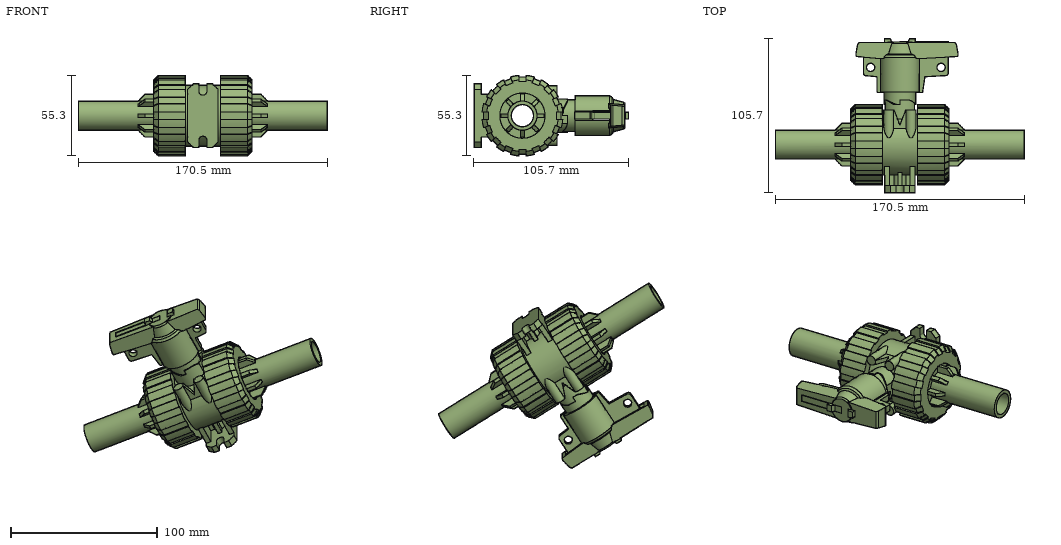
import cadquery as cq
import math


PIPE_LENGTH = 170.5
PIPE_RADIUS = 10.0
BORE_RADIUS = 7.5

RIB_COUNT = 8
RIB_THICKNESS = 2.5
RIB_RADIUS = 14.7
RIB_TIP_X = 44.4

NUT_INNER_X = 11.95
NUT_OUTER_X = 33.75
NUT_RADIUS = 27.75
NUT_CHAMFER = 3.2
NUT_HOLE_RADIUS = 31 / 2
NUT_HOLE_DEPTH = 1.5
GROOVE_COUNT = 16
GROOVE_WIDTH = 5.0
GROOVE_DEPTH = 1.25

BODY_RADIUS = 41.97 / 2
POST_RADIUS = 7 / 2
POST_X = 7.6
POST_Z = 17.0
POST_TOP_Y = 23.75
WEB_OUTER_Z = 17.9
WEB_THICKNESS = 3.0
NOTCH_HALF_WIDTH = 4.0
NOTCH_TIP_Y = 13.5

STEM_RADIUS = 22 / 2
STEM_BOTTOM_Y = 27.4
STEM_TOP_Y = 46.0
NECK_RADIUS = 11.55
NECK_HALF_WIDTH = 10.15
CAM_HIGH_Y = 30.7
CAM_COUNT = 4
CAM_RAMP_START = 30
CAM_RAMP_END = 70
CAM_RAMP_BULGE = 0.3

FOOT_HALF_WIDTH = 10.5
FOOT_HALF_HEIGHT = 21.9
FOOT_CHAMFER = 4.0
FOOT_BOTTOM_Y = -33.0
FOOT_TOP_Y = -28.15
SLOT_WIDTH = 5.5
SLOT_END_Z = 14.05
LEG_INNER_X = 7.0
LEG_HALF_HEIGHT = 14.7
FOOT_BOSS_RADIUS = 4.3
FOOT_RIB_THICKNESS = 2.9
FOOT_RIB_HALF_HEIGHT = 8.5

HUB_RADIUS = 13.75
HUB_BOTTOM_Y = 36.1
HUB_SHOULDER_Y = 59.7
HUB_EDGE_RADIUS = 12.6
HUB_EDGE_Y = 61.4
HUB_SLOT_Y = 48.2
HUB_SLOT_WIDTH = 6.6
HUB_FLAT_X = 13.2
CAP_BASE_RADIUS = 11.2
CAP_BASE_Y = 62.2
CAP_EDGE_RADIUS = 9.3
CAP_TOP_RADIUS = 8.4
CAP_EDGE_Y = 69.2
CAP_TOP_Y = 70.4

BAR_LEFT_X = -30.2
BAR_RIGHT_X = 39.9
BAR_BOTTOM_Y = 58.9
BAR_END_BOTTOM_Y = 60.3
BAR_TOP_Y = 70.0
BAR_MID_HALF_DEPTH = 8.8
BAR_END_HALF_DEPTH = 7.4
BAR_DRAFT = 6.0
BAR_WALL = 3.0
BAR_LIP_WIDTH = 0.4
BAR_LIP_Y = 61.2
BAR_RIM_Y = 62.3
BAR_END_LEAN = 1.1
BAR_CORNER_WIDTH = 1.0
BAR_CORNER_HEIGHT = 1.7

PLATE_THICKNESS = 4.75
PLATE_LEFT_X = -25.0
PLATE_RIGHT_X = 33.2
PLATE_TAB_Y = 47.3
PLATE_STEP_Y = 46.4
PLATE_BOTTOM_Y = 35.6
PLATE_TOP_Y = 70.5
PLATE_CORNER = 2.0
TONGUE_CORNER = 0.8
TONGUE_LEFT_X = -15.7
TONGUE_RIGHT_TOP_X = 17.2
TONGUE_RIGHT_BOTTOM_X = 15.6
HOLE_RADIUS = 5.5 / 2
HOLE_Y = 52.9
HOLE_LEFT_X = -20.05
HOLE_RIGHT_X = 28.2
LUG_TOP_Y = 72.67
LUG_OUTER_X = 10.65
LUG_INNER_X = 5.5
LUG_SLOPE = 1.2


def x_cylinder(radius, x_start, x_end):
    return cq.Workplane("YZ", origin=(x_start, 0, 0)).circle(radius).extrude(x_end - x_start)


def y_cylinder(radius, y_start, y_end, x=0, z=0):
    return cq.Workplane("XZ", origin=(x, y_start, z)).circle(radius).extrude(y_start - y_end)


def block(x_range, y_range, z_range):
    corners = list(zip(x_range, y_range, z_range))
    sizes = [end - start for start, end in zip(*corners)]
    return cq.Workplane().box(*sizes, centered=False).translate(corners[0])


def plate_xy(points, thickness):
    """Flat plate from an XY outline, centred on Z = 0."""
    return cq.Workplane("XY").polyline(points).close().extrude(thickness / 2, both=True)


def mirrored_x(shape):
    return shape.union(shape.mirror("YZ"))


def mirrored_z(shape):
    return shape.union(shape.mirror("XY"))


def nut():
    end_radius = NUT_RADIUS - NUT_CHAMFER
    chamfer_x = NUT_OUTER_X - NUT_CHAMFER
    floor_radius = NUT_RADIUS - GROOVE_DEPTH
    clear_radius = NUT_RADIUS + GROOVE_DEPTH
    blank = x_cylinder(NUT_RADIUS, NUT_INNER_X, NUT_OUTER_X).faces(">X").chamfer(NUT_CHAMFER)
    groove = plate_xy(
        [
            (NUT_INNER_X, clear_radius),
            (NUT_INNER_X, floor_radius),
            (chamfer_x, floor_radius),
            (NUT_OUTER_X, end_radius - GROOVE_DEPTH),
            (NUT_OUTER_X, clear_radius),
        ],
        GROOVE_WIDTH,
    )
    for index in range(GROOVE_COUNT):
        blank = blank.cut(groove.rotate((0, 0, 0), (1, 0, 0), index * 360 / GROOVE_COUNT))
    return blank.cut(x_cylinder(NUT_HOLE_RADIUS, NUT_OUTER_X - NUT_HOLE_DEPTH, NUT_OUTER_X))


def pipe_end():
    """One pipe with its ribs, on the +X side."""
    pipe = x_cylinder(PIPE_RADIUS, 0, PIPE_LENGTH / 2)
    root_radius = (BORE_RADIUS + PIPE_RADIUS) / 2
    root_x = NUT_OUTER_X - NUT_HOLE_DEPTH
    rib = plate_xy(
        [
            (root_x, root_radius),
            (root_x, RIB_RADIUS),
            (RIB_TIP_X - (RIB_RADIUS - PIPE_RADIUS), RIB_RADIUS),
            (RIB_TIP_X, PIPE_RADIUS),
            (RIB_TIP_X, root_radius),
        ],
        RIB_THICKNESS,
    )
    for index in range(RIB_COUNT):
        pipe = pipe.union(rib.rotate((0, 0, 0), (1, 0, 0), index * 360 / RIB_COUNT))
    return pipe


def posts():
    """Two posts on the +Z side joined by a web with a V notch."""
    pair = mirrored_x(y_cylinder(POST_RADIUS, 0, POST_TOP_Y, POST_X, POST_Z))
    web = block((-POST_X, POST_X), (0, POST_TOP_Y), (WEB_OUTER_Z - WEB_THICKNESS, WEB_OUTER_Z))
    notch = plate_xy(
        [(-NOTCH_HALF_WIDTH, POST_TOP_Y), (0, NOTCH_TIP_Y), (NOTCH_HALF_WIDTH, POST_TOP_Y)],
        2 * WEB_OUTER_Z,
    )
    return pair.union(web.cut(notch))


def cam():
    """Column topped by four cam steps, each falling from high to low in a quarter turn."""
    ramp_start_x = NECK_RADIUS * math.sin(math.radians(CAM_RAMP_START))
    ramp_middle_x = NECK_RADIUS * math.sin(math.radians((CAM_RAMP_START + CAM_RAMP_END) / 2))
    ramp_end_x = NECK_RADIUS * math.sin(math.radians(CAM_RAMP_END))
    cam_relief = (
        cq.Workplane("XY")
        .moveTo(ramp_start_x, CAM_HIGH_Y)
        .threePointArc(
            (ramp_middle_x, (CAM_HIGH_Y + STEM_BOTTOM_Y) / 2 + CAM_RAMP_BULGE),
            (ramp_end_x, STEM_BOTTOM_Y),
        )
        .lineTo(NECK_RADIUS, STEM_BOTTOM_Y)
        .lineTo(NECK_RADIUS, CAM_HIGH_Y)
        .close()
        .extrude(NECK_RADIUS)
    )
    solid = y_cylinder(NECK_RADIUS, 0, CAM_HIGH_Y)
    for index in range(CAM_COUNT):
        solid = solid.cut(cam_relief.rotate((0, 0, 0), (0, 1, 0), index * 360 / CAM_COUNT))
    return solid


def neck():
    """Cam column with flats on its two X sides."""
    flats = block(
        (-NECK_HALF_WIDTH, NECK_HALF_WIDTH),
        (0, CAM_HIGH_Y),
        (-NECK_RADIUS, NECK_RADIUS),
    )
    return cam().intersect(flats)


def stem():
    """Stem whose lower end mates with the cam."""
    return y_cylinder(STEM_RADIUS, STEM_BOTTOM_Y, STEM_TOP_Y).cut(cam())


def foot():
    plate = (
        block(
            (-FOOT_HALF_WIDTH, FOOT_HALF_WIDTH),
            (FOOT_BOTTOM_Y, FOOT_TOP_Y),
            (-FOOT_HALF_HEIGHT, FOOT_HALF_HEIGHT),
        )
        .edges("|Y")
        .chamfer(FOOT_CHAMFER)
    )
    slot_radius = SLOT_WIDTH / 2
    slot_z = SLOT_END_Z + slot_radius
    slot = y_cylinder(slot_radius, FOOT_BOTTOM_Y, FOOT_TOP_Y, 0, slot_z).union(
        block(
            (-slot_radius, slot_radius),
            (FOOT_BOTTOM_Y, FOOT_TOP_Y),
            (slot_z, FOOT_HALF_HEIGHT),
        )
    )
    plate = plate.cut(mirrored_z(slot))
    leg = block((LEG_INNER_X, FOOT_HALF_WIDTH), (FOOT_TOP_Y, 0), (-LEG_HALF_HEIGHT, LEG_HALF_HEIGHT))
    half_rib = FOOT_RIB_THICKNESS / 2
    cross_rib = block((-LEG_INNER_X, LEG_INNER_X), (FOOT_TOP_Y, 0), (-half_rib, half_rib))
    long_rib = block(
        (-half_rib, half_rib),
        (FOOT_TOP_Y, 0),
        (-FOOT_RIB_HALF_HEIGHT, FOOT_RIB_HALF_HEIGHT),
    )
    boss = y_cylinder(FOOT_BOSS_RADIUS, FOOT_TOP_Y, 0)
    return plate.union(mirrored_x(leg)).union(cross_rib).union(long_rib).union(boss)


def hub():
    profile = [
        (0, HUB_BOTTOM_Y),
        (HUB_RADIUS, HUB_BOTTOM_Y),
        (HUB_RADIUS, HUB_SHOULDER_Y),
        (HUB_EDGE_RADIUS, HUB_EDGE_Y),
        (CAP_BASE_RADIUS, CAP_BASE_Y),
        (CAP_EDGE_RADIUS, CAP_EDGE_Y),
        (CAP_TOP_RADIUS, CAP_TOP_Y),
        (0, CAP_TOP_Y),
    ]
    solid = cq.Workplane("XY").polyline(profile).close().revolve(360, (0, 0, 0), (0, 1, 0))
    half_slot = HUB_SLOT_WIDTH / 2
    slot_z = (-half_slot, half_slot)
    slot = block((-HUB_RADIUS, HUB_RADIUS), (HUB_SLOT_Y, HUB_SHOULDER_Y), slot_z)
    flat = block((HUB_FLAT_X, HUB_RADIUS), (HUB_BOTTOM_Y, HUB_SLOT_Y), slot_z)
    return solid.cut(slot).cut(mirrored_x(flat))


def bar_solid(left, right, inset, top_y):
    """Drafted six-sided bar between two ends, its long faces drawn in by the given inset."""
    mid = BAR_MID_HALF_DEPTH - inset
    end = BAR_END_HALF_DEPTH - inset
    outline = [(-end, left), (-mid, 0), (-end, right), (end, right), (mid, 0), (end, left)]
    return (
        cq.Workplane("ZX", origin=(0, BAR_BOTTOM_Y, 0))
        .polyline(outline)
        .close()
        .extrude(top_y - BAR_BOTTOM_Y, taper=BAR_DRAFT)
    )


def bar_end(end_x, side):
    """Profile of one bar end from bottom to top; side is the sign of its X direction."""
    lean_x = end_x - side * BAR_END_LEAN
    return [
        (end_x - side * BAR_LIP_WIDTH, BAR_END_BOTTOM_Y),
        (end_x, BAR_LIP_Y),
        (end_x, BAR_RIM_Y),
        (lean_x, BAR_TOP_Y - BAR_CORNER_HEIGHT),
        (lean_x - side * BAR_CORNER_WIDTH, BAR_TOP_Y),
    ]


def handle_bar():
    allowance = (BAR_TOP_Y - BAR_BOTTOM_Y) * math.tan(math.radians(BAR_DRAFT))
    side_outline = [(-HUB_RADIUS, BAR_BOTTOM_Y), (HUB_RADIUS, BAR_BOTTOM_Y)]
    side_outline += bar_end(BAR_RIGHT_X, 1)
    side_outline += reversed(bar_end(BAR_LEFT_X, -1))
    outside = bar_solid(BAR_LEFT_X - allowance, BAR_RIGHT_X + allowance, 0, BAR_TOP_Y)
    outside = outside.intersect(plate_xy(side_outline, 2 * HUB_RADIUS))
    cavity = bar_solid(BAR_LEFT_X + BAR_WALL, BAR_RIGHT_X - BAR_WALL, BAR_WALL, BAR_TOP_Y - BAR_WALL)
    return outside.cut(cavity)


def locking_plate():
    tabs = plate_xy(
        [
            (PLATE_LEFT_X, PLATE_TAB_Y),
            (TONGUE_LEFT_X, PLATE_STEP_Y),
            (TONGUE_RIGHT_TOP_X, PLATE_STEP_Y),
            (PLATE_RIGHT_X, PLATE_TAB_Y),
            (PLATE_RIGHT_X, PLATE_TOP_Y),
            (0, PLATE_TOP_Y),
            (0, BAR_TOP_Y),
            (PLATE_LEFT_X, BAR_TOP_Y),
        ],
        PLATE_THICKNESS,
    )
    for side in ("<X", ">X"):
        tabs = tabs.faces(side).edges("<Y").fillet(PLATE_CORNER)
    for hole_x in (HOLE_LEFT_X, HOLE_RIGHT_X):
        tabs = tabs.cut(
            cq.Workplane("XY", origin=(hole_x, HOLE_Y, -PLATE_THICKNESS / 2))
            .circle(HOLE_RADIUS)
            .extrude(PLATE_THICKNESS)
        )
    tongue = plate_xy(
        [
            (TONGUE_LEFT_X, PLATE_BOTTOM_Y),
            (TONGUE_RIGHT_BOTTOM_X, PLATE_BOTTOM_Y),
            (TONGUE_RIGHT_TOP_X, PLATE_STEP_Y),
            (TONGUE_RIGHT_TOP_X, PLATE_TAB_Y),
            (TONGUE_LEFT_X, PLATE_TAB_Y),
        ],
        PLATE_THICKNESS,
    )
    tongue = tongue.faces("<Y").edges("|Z").fillet(TONGUE_CORNER)
    lug = plate_xy(
        [
            (LUG_INNER_X, BAR_TOP_Y - BAR_WALL),
            (LUG_OUTER_X, BAR_TOP_Y - BAR_WALL),
            (LUG_OUTER_X, LUG_TOP_Y),
            (LUG_INNER_X + LUG_SLOPE, LUG_TOP_Y),
            (LUG_INNER_X, PLATE_TOP_Y),
        ],
        PLATE_THICKNESS,
    )
    return tabs.union(tongue).union(mirrored_x(lug))


valve = x_cylinder(BODY_RADIUS, -NUT_INNER_X, NUT_INNER_X)
valve = valve.union(mirrored_x(nut())).union(mirrored_x(pipe_end()))
valve = valve.union(mirrored_z(posts())).union(neck()).union(foot())
bore = x_cylinder(BORE_RADIUS, -PIPE_LENGTH / 2, PIPE_LENGTH / 2)

handle = hub().union(stem())
handle = handle.union(handle_bar()).union(locking_plate())

result = valve.cut(bore).union(handle)